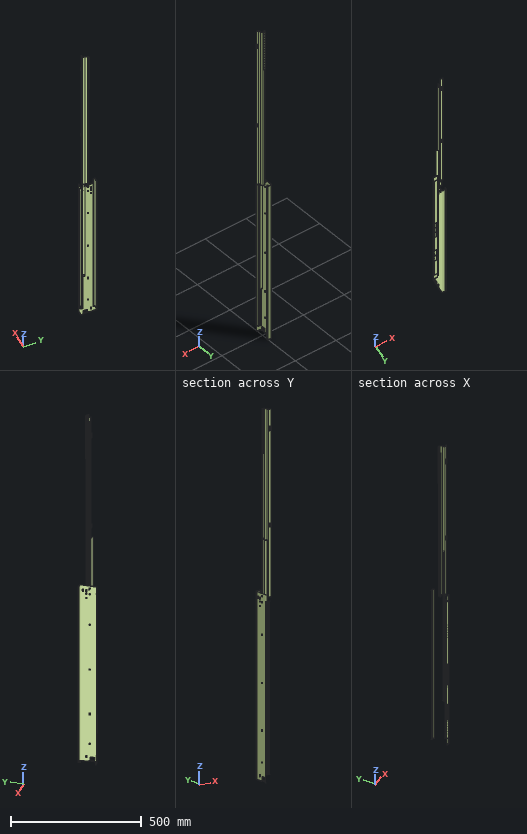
import cadquery as cq

TOTAL_LENGTH = 1485.01
TOTAL_WIDTH = 34.55
TOTAL_HEIGHT = 70.8
SHEET = 2.0
HALF_SHEET = SHEET / 2
CUT_REACH = 100.0

TOP_FACE_Y = TOTAL_HEIGHT / 2
PAD_FACE_Y = -TOTAL_HEIGHT / 2
PAD_HEIGHT = 0.5
BOTTOM_FACE_Y = PAD_FACE_Y + PAD_HEIGHT
CABINET_LENGTH = 751.0
CABINET_DEPTH = 20.5
CABINET_BEND = 5.0
LIP_DROP = 8.0
PAD_X = (2.5, 18.0)
PAD_Z = (128.0, 204.0)
PAD_HOLE_X = 12.8
PAD_HOLE_DIAMETER = 4.5
RECESS_X = (10.5, 18.0)
RECESS_DEPTH = 0.5
RECESS_BOTTOM_Z = 302.0
RECESS_PITCH = 34.3
RECESS_COUNT = 3
RECESS_RIB = 1.0
HOLE_DIAMETER = 4.5
UPPER_ROW_Y = 8.9
LOWER_ROW_Y = -4.5
UPPER_ROW_Z = (715.7, 697.8)
LOWER_ROW_Z = (740.0, 715.7, 585.9, 393.6, 76.0)
SLOT_LENGTH = 9.0
SLOT_PLACES = ((22.4, 729.0), (UPPER_ROW_Y, 729.0), (LOWER_ROW_Y, 203.5), (UPPER_ROW_Y, 20.0))
WINDOW_Y = (-25.0, -6.0)
WINDOW_Z = (7.0, 20.0)
WINDOW_CORNER = 3.0
END_NOTCH_Y = (-27.0, -1.0)
END_NOTCH_DEPTH = 3.0

DRAWER_LENGTH = 750.0
DRAWER_BOTTOM_Z = TOTAL_LENGTH - DRAWER_LENGTH
DRAWER_WALL_X = 23.5
FLANGE_Y = -16.5
DRAWER_CROWN_Y = 3.2
CROWN_X = (9.0, 18.5)
SHOULDER_Y = -6.0
HOOK_X = 5.8
HOOK_TIP_X = 11.0
HOOK_TIP_Y = -4.5
COLLAR_FACE_Y = -20.5
COLLAR_X = (24.0, 33.0)
COLLAR_SLOT_WIDTH = 6.0
COLLAR_PLACES = ((1409.0, 18.0), (1023.0, 13.5))
CROWN_PAD_TOP_Y = 6.5
CROWN_PAD_LENGTH = 181.0
HOOK_CUT_LENGTH = 28.0
HOOK_CUT_Y = -3.5
HOOK_NOTCH_X = 9.0
HOOK_NOTCH_Z = (966.0, 970.8)

MIDDLE_LENGTH = 750.0
MIDDLE_TOP_Z = 965.5
MIDDLE_X = (5.5, 15.5)
MIDDLE_Y = (-21.0, -14.0)
MIDDLE_CORNER = 2.0

GUIDE_Z = (30.0, 722.0)
GUIDE_BACK_X = 6.0
GUIDE_ARM_X = 12.0
GUIDE_FRONT_X = 22.4
GUIDE_TIP_X = 18.5
GUIDE_TOP_Y = -23.5
GUIDE_TIP_Y = -25.0
GUIDE_FLOOR_Y = BOTTOM_FACE_Y + SHEET + HALF_SHEET


def block(x_span, y_span, z_span):
    """Box between two limits along each axis."""
    size = [span[1] - span[0] for span in (x_span, y_span, z_span)]
    corner = (x_span[0], y_span[0], z_span[0])
    return cq.Workplane().box(*size, centered=False).translate(corner)


def bent_sheet(centre_line, z_span):
    """Sheet strip following a centre line in XY, with rounded bends and rounded edges."""
    outline = cq.Workplane(origin=(0, 0, z_span[0])).polyline(centre_line).offset2D(HALF_SHEET)
    return outline.extrude(z_span[1] - z_span[0])


def across_web(y, z):
    """Workplane on the outside of the cabinet web, centred on a point of it."""
    return cq.Workplane("YZ", origin=(0, y, z))


def make_cabinet_body():
    z_span = (0, CABINET_LENGTH)
    outer = block((0, CABINET_DEPTH), (BOTTOM_FACE_Y, TOP_FACE_Y), z_span)
    outer = outer.edges("|Z and <X").fillet(CABINET_BEND)
    inner = block((SHEET, CUT_REACH), (BOTTOM_FACE_Y + SHEET, TOP_FACE_Y - SHEET), z_span)
    inner = inner.edges("|Z and <X").fillet(CABINET_BEND - SHEET)
    lip = block((CABINET_DEPTH - SHEET, CABINET_DEPTH), (TOP_FACE_Y - LIP_DROP, TOP_FACE_Y), z_span)
    return outer.cut(inner).union(lip)


def add_cabinet_pad(rail):
    """Raised pad with a hole on the lower flange."""
    pad = block(PAD_X, (PAD_FACE_Y, BOTTOM_FACE_Y + HALF_SHEET), PAD_Z)
    hole_z = sum(PAD_Z) / 2
    hole = cq.Workplane("XZ", origin=(PAD_HOLE_X, PAD_FACE_Y, hole_z)).circle(PAD_HOLE_DIAMETER / 2)
    return rail.union(pad).cut(hole.extrude(-(PAD_HEIGHT + SHEET)))


def cut_flange_recesses(rail):
    """Row of shallow recesses in the outside of the lower flange."""
    for index in range(RECESS_COUNT):
        bottom = RECESS_BOTTOM_Z + index * RECESS_PITCH
        z_span = (bottom, bottom + RECESS_PITCH - RECESS_RIB)
        rail = rail.cut(block(RECESS_X, (PAD_FACE_Y, BOTTOM_FACE_Y + RECESS_DEPTH), z_span))
    return rail


def cut_web_holes(rail):
    places = [(UPPER_ROW_Y, z) for z in UPPER_ROW_Z]
    places += [(LOWER_ROW_Y, z) for z in LOWER_ROW_Z]
    for y, z in places:
        rail = rail.cut(across_web(y, z).circle(HOLE_DIAMETER / 2).extrude(SHEET))
    for y, z in SLOT_PLACES:
        rail = rail.cut(across_web(y, z).slot2D(SLOT_LENGTH, HOLE_DIAMETER, 90).extrude(SHEET))
    return rail


def cut_cabinet_end(rail):
    """Window through the web and notch in its lower edge."""
    window = block((0, SHEET), WINDOW_Y, WINDOW_Z).edges("|X").fillet(WINDOW_CORNER)
    notch = block((0, SHEET), END_NOTCH_Y, (0, END_NOTCH_DEPTH))
    return rail.cut(window).cut(notch)


def make_cabinet_rail():
    rail = add_cabinet_pad(make_cabinet_body())
    rail = cut_flange_recesses(rail)
    rail = cut_web_holes(rail)
    return cut_cabinet_end(rail)


def make_drawer_body():
    """Flange, wall, sloping shoulder, crown and hook in one bent sheet."""
    centre_line = [
        (TOTAL_WIDTH - HALF_SHEET, FLANGE_Y),
        (DRAWER_WALL_X, FLANGE_Y),
        (DRAWER_WALL_X, SHOULDER_Y),
        (CROWN_X[1], DRAWER_CROWN_Y),
        (CROWN_X[0], DRAWER_CROWN_Y),
        (HOOK_X, 0),
        (HOOK_X, HOOK_TIP_Y),
        (HOOK_TIP_X, HOOK_TIP_Y),
    ]
    return bent_sheet(centre_line, (DRAWER_BOTTOM_Z, TOTAL_LENGTH))


def add_slot_collars(rail):
    """Collars below the flange, each around a slot that goes through the flange."""
    middle_x = sum(COLLAR_X) / 2
    slot_x = (middle_x - COLLAR_SLOT_WIDTH / 2, middle_x + COLLAR_SLOT_WIDTH / 2)
    for centre_z, length in COLLAR_PLACES:
        z_span = (centre_z - length / 2, centre_z + length / 2)
        slot_z = (z_span[0] + HALF_SHEET, z_span[1] - HALF_SHEET)
        rail = rail.union(block(COLLAR_X, (COLLAR_FACE_Y, FLANGE_Y), z_span))
        rail = rail.cut(block(slot_x, (COLLAR_FACE_Y, FLANGE_Y + SHEET), slot_z))
    return rail


def make_drawer_rail():
    rail = add_slot_collars(make_drawer_body())
    crown_pad_z = (TOTAL_LENGTH - CROWN_PAD_LENGTH, TOTAL_LENGTH)
    rail = rail.union(block(CROWN_X, (DRAWER_CROWN_Y, CROWN_PAD_TOP_Y), crown_pad_z))
    hook_end_z = (TOTAL_LENGTH - HOOK_CUT_LENGTH, TOTAL_LENGTH)
    rail = rail.cut(block((0, CROWN_X[1]), (HOOK_TIP_Y - SHEET, HOOK_CUT_Y), hook_end_z))
    hook_notch_y = (HOOK_TIP_Y - SHEET, CROWN_PAD_TOP_Y)
    return rail.cut(block((0, HOOK_NOTCH_X), hook_notch_y, HOOK_NOTCH_Z))


def make_intermediate_rail():
    bar = block(MIDDLE_X, MIDDLE_Y, (MIDDLE_TOP_Z - MIDDLE_LENGTH, MIDDLE_TOP_Z))
    return bar.edges("|Z").fillet(MIDDLE_CORNER)


def make_guide_channel():
    """Bent channel that lies on the lower flange of the cabinet rail."""
    centre_line = [
        (GUIDE_ARM_X, GUIDE_TOP_Y),
        (GUIDE_BACK_X, GUIDE_TOP_Y),
        (GUIDE_BACK_X, GUIDE_FLOOR_Y),
        (GUIDE_FRONT_X, GUIDE_FLOOR_Y),
        (GUIDE_TIP_X, GUIDE_TIP_Y),
    ]
    return bent_sheet(centre_line, GUIDE_Z)


cabinet_rail = make_cabinet_rail()
drawer_rail = make_drawer_rail()
intermediate_rail = make_intermediate_rail()
guide_channel = make_guide_channel()

result = cq.Compound.makeCompound(
    [cabinet_rail.val(), drawer_rail.val(), intermediate_rail.val(), guide_channel.val()]
)